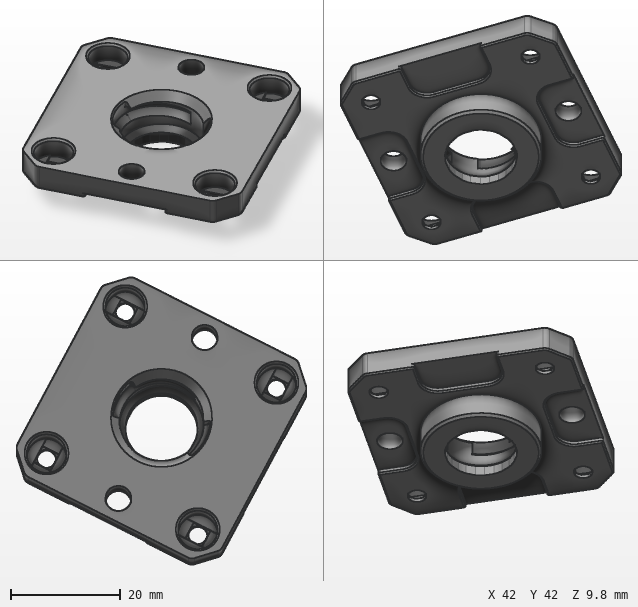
import cadquery as cq
import math

plate_size = 42.0
plate_thickness = 5.0
corner_chamfer = 4.0
corner_edge_radius = 1.5
plate_bottom_chamfer = 0.3

recess_height = 1.0
recess_depth = 8.0
recess_half_width = 7.65
recess_inner_radius = 3.4
recess_mouth_radius = 0.4

boss_diameter = 22.0
boss_height = 4.8
boss_chamfer = 0.5
total_height = plate_thickness + boss_height

bore_diameter = 15.3
bore_mouth_diameter = 18.4
bore_depth = 6.6
exit_diameter = 13.1
exit_flat_count = 12
exit_flat_distance = 12.98

lug_half_angle = 25.0
bayonet_turn = 90.0
bayonet_diameter = 17.8
bayonet_corner_radius = 0.4
entry_depth = 4.25
channel_drop = 0.95
channel_height = 2.75

screw_spacing = 31.0
screw_diameter = 3.4
counterbore_diameter = 7.2
counterbore_depth = 3.6
counterbore_chamfer = 0.4
bridge_step = 0.3

pin_diameter = 4.7
pin_spacing = 34.0

bore_overlap = 1.0
helix_margin = 0.5
helix_run_out = 5.0

bore_radius = bore_diameter / 2
bayonet_radius = bayonet_diameter / 2
inner_radius = bore_radius - bore_overlap


def frustum(top_z, top_radius, bottom_z, bottom_radius):
    """Solid of revolution about Z with a straight flank."""
    profile = [(0, top_z), (top_radius, top_z), (bottom_radius, bottom_z), (0, bottom_z)]
    return cq.Workplane("XZ").polyline(profile).close().revolve(360, (0, 0), (0, 1))


def cylinder(diameter, top_z, bottom_z):
    """Cylinder about Z."""
    return frustum(top_z, diameter / 2, bottom_z, diameter / 2)


def side_recess():
    """Recess at the -Y side: mouth edges rounded outward, inner corners rounded inward."""
    side = -plate_size / 2
    back = side + recess_depth
    mouth = recess_half_width + recess_mouth_radius
    flat = recess_half_width - recess_inner_radius
    return (
        cq.Workplane("XY", origin=(0, 0, -plate_thickness))
        .moveTo(-mouth, side)
        .radiusArc((-recess_half_width, side + recess_mouth_radius), -recess_mouth_radius)
        .lineTo(-recess_half_width, back - recess_inner_radius)
        .radiusArc((-flat, back), recess_inner_radius)
        .lineTo(flat, back)
        .radiusArc((recess_half_width, back - recess_inner_radius), recess_inner_radius)
        .lineTo(recess_half_width, side + recess_mouth_radius)
        .radiusArc((mouth, side), -recess_mouth_radius)
        .close()
        .extrude(recess_height)
    )


def plate():
    """Plate with chamfered corners, side recesses and a chamfered underside."""
    body = (
        cq.Workplane("XY", origin=(0, 0, -plate_thickness))
        .rect(plate_size, plate_size)
        .extrude(plate_thickness)
        .edges("|Z")
        .chamfer(corner_chamfer)
        .edges("|Z")
        .fillet(corner_edge_radius)
    )
    for side in range(4):
        body = body.cut(side_recess().rotate((0, 0, 0), (0, 0, 1), 90 * side))
    return body.faces("<Z").edges().chamfer(plate_bottom_chamfer)


def boss():
    """Round boss, started inside the plate so that the two bodies join."""
    body = cylinder(boss_diameter, -plate_thickness + recess_height, -total_height)
    return body.faces("<Z").edges().chamfer(boss_chamfer)


def centre_bore():
    """Countersunk bore that narrows through a cone to a round exit with shallow flats."""
    mouth_radius = bore_mouth_diameter / 2
    mouth_depth = mouth_radius - bore_radius
    exit_radius = exit_diameter / 2
    cone_bottom = -bore_depth - (bore_radius - exit_radius)
    flats = (
        cq.Workplane("XY", origin=(0, 0, -total_height))
        .polygon(exit_flat_count, exit_flat_distance, circumscribed=True)
        .extrude(total_height)
    )
    exit_hole = cylinder(exit_diameter, 0, -total_height).intersect(flats)
    return (
        frustum(0, mouth_radius, -mouth_depth, bore_radius)
        .union(cylinder(bore_diameter, -mouth_depth, -bore_depth))
        .union(frustum(-bore_depth, bore_radius, cone_bottom, exit_radius))
        .union(exit_hole)
    )


def polar_point(radius, angle):
    return radius * math.cos(math.radians(angle)), radius * math.sin(math.radians(angle))


def rounded_sector(start, end):
    """Full-height ring sector between two angles, with its two outer corners rounded."""
    middle = (start + end) / 2
    sector = (
        cq.Workplane("XY", origin=(0, 0, -total_height))
        .moveTo(*polar_point(inner_radius, start))
        .lineTo(*polar_point(bayonet_radius, start))
        .threePointArc(polar_point(bayonet_radius, middle), polar_point(bayonet_radius, end))
        .lineTo(*polar_point(inner_radius, end))
        .threePointArc(polar_point(inner_radius, middle), polar_point(inner_radius, start))
        .close()
        .extrude(total_height)
    )
    outer_corners = [
        edge
        for edge in sector.edges("|Z").vals()
        if math.hypot(edge.Center().x, edge.Center().y) > bore_radius
    ]
    return sector.newObject(outer_corners).fillet(bayonet_corner_radius)


def bayonet_entry():
    """Entry at the +X side: open at the top, with a 45 degree conical floor."""
    rim_z = -entry_depth + (bayonet_radius - bore_radius)
    inner_z = -entry_depth - (bore_radius - inner_radius)
    envelope = cylinder(bayonet_diameter, 0, rim_z).union(
        frustum(rim_z, bayonet_radius, inner_z, inner_radius)
    )
    return rounded_sector(-lug_half_angle, lug_half_angle).intersect(envelope)


def bayonet_channel():
    """Helical channel falling clockwise from the -X entry to a closed end."""
    entry_middle = 180
    closed_end = entry_middle - bayonet_turn - lug_half_angle
    entry_edge = entry_middle - lug_half_angle
    start_angle = closed_end - helix_run_out
    pitch = channel_drop * 360 / (entry_edge - closed_end)
    sweep_angle = entry_middle + helix_run_out - start_angle
    floor_z = -entry_depth - channel_drop - pitch * helix_run_out / 360
    ceiling_z = floor_z + channel_height
    band_inner = inner_radius - helix_margin
    band_outer = bayonet_radius + helix_margin
    profile = [
        (band_inner, ceiling_z),
        (band_inner, floor_z - (bore_radius - band_inner)),
        (band_outer, floor_z + (band_outer - bore_radius)),
        (band_outer, ceiling_z),
    ]
    path = cq.Wire.makeHelix(pitch, pitch * sweep_angle / 360, bore_radius)
    band = (
        cq.Workplane("XZ")
        .polyline(profile)
        .close()
        .sweep(cq.Workplane(path), isFrenet=True)
        .rotate((0, 0, 0), (0, 0, 1), start_angle)
    )
    return rounded_sector(closed_end, entry_middle).intersect(band)


def screw_hole(slot_angle):
    """Counterbored hole whose floor steps down through a slot and a square to the round hole."""
    mouth_radius = counterbore_diameter / 2 + counterbore_chamfer
    slot_bottom = -counterbore_depth - bridge_step
    square_bottom = slot_bottom - bridge_step
    counterbore = cylinder(counterbore_diameter, 0, -counterbore_depth)
    slot = (
        cq.Workplane("XY", origin=(0, 0, slot_bottom))
        .rect(counterbore_diameter, screw_diameter)
        .extrude(-slot_bottom)
        .intersect(cylinder(counterbore_diameter, 0, slot_bottom))
    )
    square = (
        cq.Workplane("XY", origin=(0, 0, square_bottom))
        .rect(screw_diameter, screw_diameter)
        .extrude(-square_bottom)
    )
    return (
        frustum(0, mouth_radius, -counterbore_chamfer, counterbore_diameter / 2)
        .union(counterbore)
        .union(slot)
        .union(square)
        .union(cylinder(screw_diameter, 0, -plate_thickness))
        .rotate((0, 0, 0), (0, 0, 1), slot_angle)
    )


result = plate().union(boss()).cut(centre_bore())

for turn in (0, 180):
    for cutter in (bayonet_entry(), bayonet_channel()):
        result = result.cut(cutter.rotate((0, 0, 0), (0, 0, 1), turn))

for x_sign in (-1, 1):
    for y_sign in (-1, 1):
        slot_angle = 90 if x_sign == y_sign else 0
        corner = (x_sign * screw_spacing / 2, y_sign * screw_spacing / 2, 0)
        result = result.cut(screw_hole(slot_angle).translate(corner))

for y_sign in (-1, 1):
    pin_hole = cylinder(pin_diameter, 0, -plate_thickness)
    result = result.cut(pin_hole.translate((0, y_sign * pin_spacing / 2, 0)))